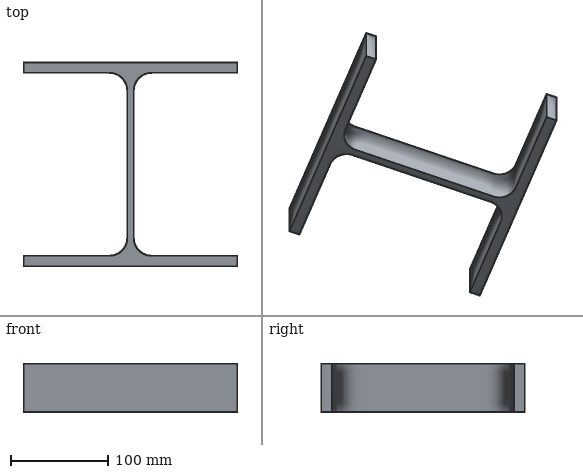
import cadquery as cq

flange_width = 220.0
section_depth = 210.0
length = 50.0
flange_thickness = 11.0
web_thickness = 7.0
root_radius = 18.0

flange_offset = (section_depth - flange_thickness) / 2
web_depth = section_depth - 2 * flange_thickness


def flange(side):
    """Flange plate on the +Y (side=1) or -Y (side=-1) end of the web."""
    plate = cq.Workplane("XY").box(flange_width, flange_thickness, length, centered=(True, True, False))
    return plate.translate((0, side * flange_offset, 0))


web = cq.Workplane("XY").box(web_thickness, web_depth, length, centered=(True, True, False))
section = web.union(flange(1)).union(flange(-1))

root_corners = cq.selectors.BoxSelector(
    (-web_thickness, -section_depth / 2, 0),
    (web_thickness, section_depth / 2, length),
)
result = section.edges("|Z").edges(root_corners).fillet(root_radius)